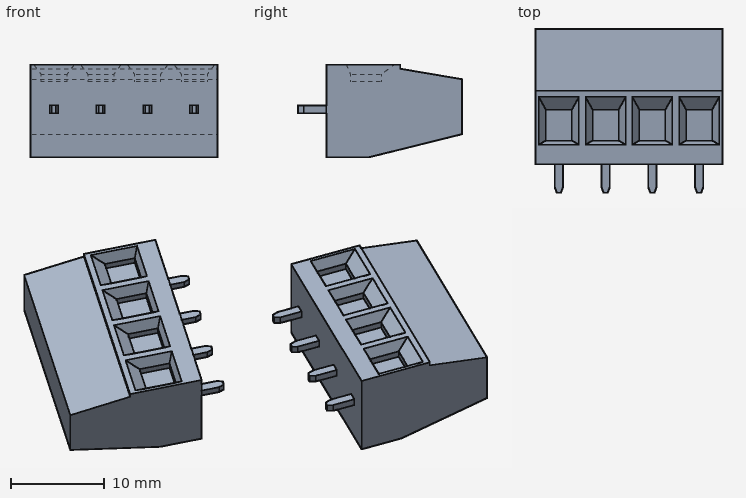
import cadquery as cq

pole_count = 4
width = 19.99
pitch = width / pole_count
depth = 14.5
height = 9.92

raised_depth = 7.9
step_height = 0.44
rear_top_drop = 1.55
rear_bottom_rise = 2.45
flat_base_depth = 4.6

mouth_width = 4.3
mouth_length = 5.1
mouth_front = 2.12
mouth_depth = 1.02
well_width = 2.78
well_length = 3.3
well_front = 2.55
well_depth = 0.78

pin_length = 3.04
pin_width = 0.9
pin_thickness = 0.84
pin_height = 5.12
tip_length = 0.6
tip_width = 0.44


def make_housing():
    """Extrude the side profile across the full width."""
    profile = [
        (0, 0),
        (flat_base_depth, 0),
        (depth, rear_bottom_rise),
        (depth, height - rear_top_drop),
        (raised_depth, height - step_height),
        (raised_depth, height),
        (0, height),
    ]
    return cq.Workplane("YZ").polyline(profile).close().extrude(width)


def make_pocket(center_x):
    """Solid to remove for one screw pocket."""
    mouth_center_y = mouth_front + mouth_length / 2
    well_center_y = well_front + well_length / 2
    well_top = height - mouth_depth
    mouth = (
        cq.Workplane("XY", origin=(center_x, 0, height))
        .center(0, mouth_center_y)
        .rect(mouth_width, mouth_length)
        .workplane(offset=-mouth_depth)
        .center(0, well_center_y - mouth_center_y)
        .rect(well_width, well_length)
        .loft(ruled=True)
    )
    well = (
        cq.Workplane("XY", origin=(center_x, well_center_y, well_top))
        .rect(well_width, well_length)
        .extrude(-well_depth)
    )
    return mouth.union(well)


def make_pin(center_x):
    """Pin standing out of the front face toward -Y."""
    outline = [
        (-pin_width / 2, 0),
        (-pin_width / 2, tip_length - pin_length),
        (-tip_width / 2, -pin_length),
        (tip_width / 2, -pin_length),
        (pin_width / 2, tip_length - pin_length),
        (pin_width / 2, 0),
    ]
    return (
        cq.Workplane("XY", origin=(center_x, 0, pin_height - pin_thickness / 2))
        .polyline(outline)
        .close()
        .extrude(pin_thickness)
    )


result = make_housing()
for pole in range(pole_count):
    pole_x = (pole + 0.5) * pitch
    result = result.cut(make_pocket(pole_x)).union(make_pin(pole_x))